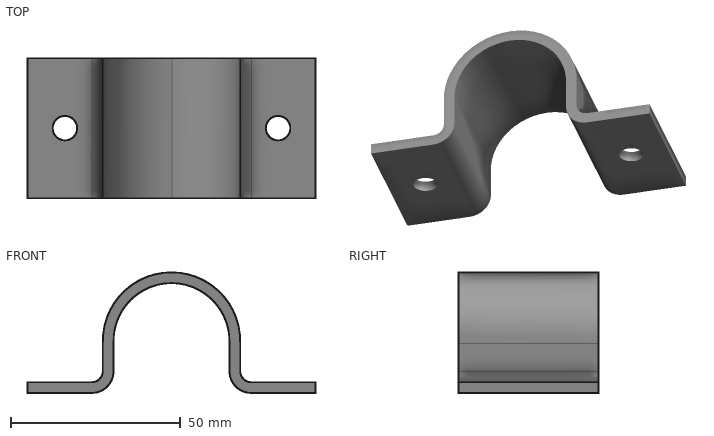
import cadquery as cq

length = 84.9
width = 41.3
height = 35.6
thickness = 3.2

saddle_width = 40.5
arch_rise = 20.9

inner_bend = 3.2
outer_bend = inner_bend + thickness

hole_diameter = 7.1
hole_spacing = 62.8

half_length = length / 2
outer_half = saddle_width / 2
inner_half = outer_half - thickness
leg_top = height - arch_rise
bend_end = outer_half + inner_bend


def arch_radius(half_span, rise):
    """Radius of an arc that is level at the crown and drops by rise over half_span."""
    return (half_span**2 + rise**2) / (2 * rise)


def bent_strap():
    """Strap of constant thickness, bent into a saddle between two feet."""
    inner_rise = arch_rise - thickness
    outer_radius = arch_radius(outer_half, arch_rise)
    inner_radius = arch_radius(inner_half, inner_rise)
    return (
        cq.Workplane("XZ", origin=(0, width / 2, 0))
        .moveTo(-half_length, thickness)
        .lineTo(-bend_end, thickness)
        .radiusArc((-outer_half, outer_bend), -inner_bend)
        .lineTo(-outer_half, leg_top)
        .radiusArc((0, height), outer_radius)
        .radiusArc((outer_half, leg_top), outer_radius)
        .lineTo(outer_half, outer_bend)
        .radiusArc((bend_end, thickness), -inner_bend)
        .lineTo(half_length, thickness)
        .lineTo(half_length, 0)
        .lineTo(bend_end, 0)
        .radiusArc((inner_half, outer_bend), outer_bend)
        .lineTo(inner_half, leg_top)
        .radiusArc((0, height - thickness), -inner_radius)
        .radiusArc((-inner_half, leg_top), -inner_radius)
        .lineTo(-inner_half, outer_bend)
        .radiusArc((-bend_end, 0), outer_bend)
        .lineTo(-half_length, 0)
        .close()
        .extrude(width, clean=False)
    )


def screw_holes():
    """Cylinders that pass through both feet."""
    return (
        cq.Workplane("XY")
        .pushPoints([(-hole_spacing / 2, 0), (hole_spacing / 2, 0)])
        .circle(hole_diameter / 2)
        .extrude(thickness)
    )


result = bent_strap().cut(screw_holes(), clean=False)